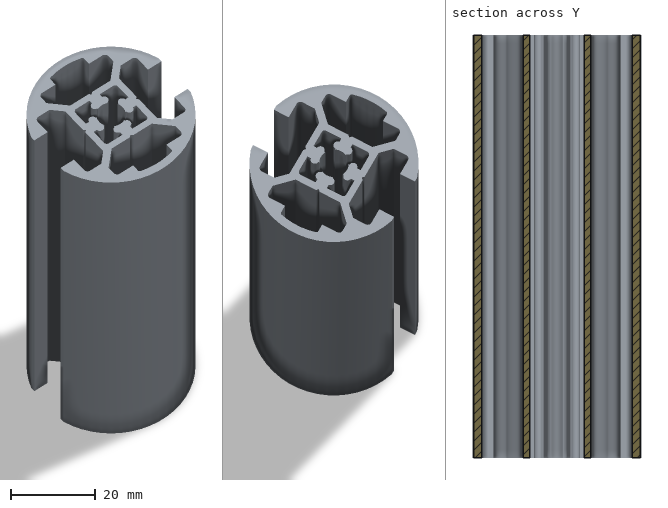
import cadquery as cq

LENGTH = 100.0
OUTER_RADIUS = 20.0
FLAT_HALF_HEIGHT = 19.0

CORE_HALF = 8.0
LIP_DISTANCE = 15.0
CHAMBER_HALF_WIDTH = 10.0
CHAMBER_FILLET = 1.0

SLOT_HALF_WIDTH = 5.1
OPEN_FLOOR_HALF = 7.35

SIDE_RECESS_HALF = 5.0
SIDE_RECESS_RADIUS = 18.0
SIDE_RECESS_FILLET = 0.5
SIDE_FLOOR_HALF = 6.0

GROOVE_HALF_WIDTH = 0.5
GROOVE_DEPTH = 0.5

CAVITY_HALF = 6.35
CAVITY_FILLET = 0.8
SCREW_BORE_RADIUS = 3.5
NECK_HALF_WIDTH = 1.5
LOBE_RADIUS = 1.0
LOBE_OFFSET = 1.4
LOBE_DISTANCE = 4.4


def prism(points):
    """Full-length prism over a closed outline."""
    return cq.Workplane("XY").polyline(points).close().extrude(LENGTH)


def centred_box(width, depth, y=0.0):
    return cq.Workplane("XY").center(0, y).rect(width, depth).extrude(LENGTH)


def cylinder(radius, x=0.0, y=0.0):
    return cq.Workplane("XY").center(x, y).circle(radius).extrude(LENGTH)


def turned(body, angle):
    return body.rotate((0, 0, 0), (0, 0, 1), angle)


def outer_body():
    return cylinder(OUTER_RADIUS).intersect(
        centred_box(2 * OUTER_RADIUS, 2 * FLAT_HALF_HEIGHT)
    )


def chamber(floor_half):
    """Chamber on the +Y side: flat floor, 45 degree walls, then straight walls up to the lips."""
    wall_start = CORE_HALF + CHAMBER_HALF_WIDTH - floor_half
    body = prism(
        [
            (-floor_half, CORE_HALF),
            (floor_half, CORE_HALF),
            (CHAMBER_HALF_WIDTH, wall_start),
            (CHAMBER_HALF_WIDTH, LIP_DISTANCE),
            (-CHAMBER_HALF_WIDTH, LIP_DISTANCE),
            (-CHAMBER_HALF_WIDTH, wall_start),
        ]
    )
    return body.faces(">Y").edges("|Z").fillet(CHAMBER_FILLET)


def outward_box(half_width):
    """Box on the +Y axis from the core wall to the outer radius."""
    depth = OUTER_RADIUS - CORE_HALF
    return centred_box(2 * half_width, depth, y=CORE_HALF + depth / 2)


def floor_groove():
    """V groove along the middle of the +Y chamber floor."""
    return prism(
        [
            (-GROOVE_HALF_WIDTH, CORE_HALF),
            (GROOVE_HALF_WIDTH, CORE_HALF),
            (0, CORE_HALF - GROOVE_DEPTH),
        ]
    )


def open_slot():
    """Open T-slot on the +Y side."""
    mouth = outward_box(SLOT_HALF_WIDTH)
    return chamber(OPEN_FLOOR_HALF).union(mouth).union(floor_groove())


def side_chamber():
    """Closed chamber, built on the +Y side, with a shallow recess into the outer wall."""
    recess = outward_box(SIDE_RECESS_HALF).intersect(cylinder(SIDE_RECESS_RADIUS))
    recess = recess.edges("|Z").edges(">Y").fillet(SIDE_RECESS_FILLET)
    return chamber(SIDE_FLOOR_HALF).union(recess).union(floor_groove())


def screw_boss():
    """Two-lobed boss reaching from the +Y cavity wall to the screw bore."""
    boss = centred_box(2 * NECK_HALF_WIDTH, CAVITY_HALF, y=CAVITY_HALF / 2)
    for side in (-1, 1):
        boss = boss.union(cylinder(LOBE_RADIUS, side * LOBE_OFFSET, LOBE_DISTANCE))
    return boss.cut(cylinder(SCREW_BORE_RADIUS))


def core_cavity():
    cavity = centred_box(2 * CAVITY_HALF, 2 * CAVITY_HALF).edges("|Z").fillet(CAVITY_FILLET)
    for angle in (0, 90, 180, 270):
        cavity = cavity.cut(turned(screw_boss(), angle))
    return cavity


result = outer_body().cut(core_cavity())
for angle in (0, 180):
    result = result.cut(turned(open_slot(), angle))
    result = result.cut(turned(side_chamber(), angle + 90))